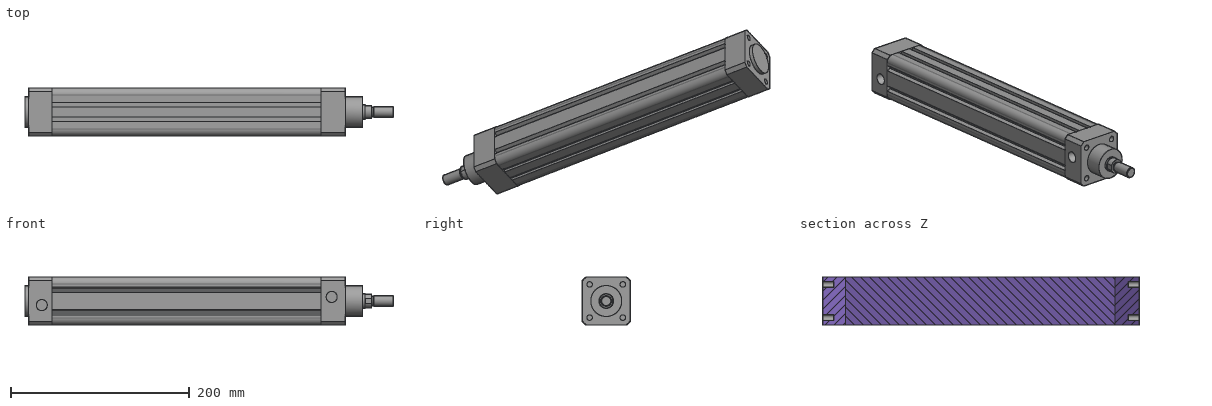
import cadquery as cq


total_length = 413.0
rear_pilot_length = 4.0
rear_head_length = 26.0
front_head_start = 331.5
front_head_length = 27.3
front_boss_length = 19.5

rear_head_end = rear_pilot_length + rear_head_length
front_head_end = front_head_start + front_head_length
boss_end = front_head_end + front_boss_length

width = 54.0
head_chamfer = 4.0
pilot_diameter = 34.5
mount_hole_diameter = 6.0
mount_hole_spacing = 37.0
mount_hole_depth = 12.5
port_diameter = 12.5
port_depth = 12.5
port_height = 4.5
rear_port_x = 19.0
front_port_x = 343.5

tube_corner_radius = 8.0
slot_depth = 3.5
slot_width = 5.0
slot_offset = 8.3
side_groove_depth = 4.0
side_groove_mouth = 6.0
side_groove_floor = 2.5
side_groove_offset = 12.5

collar_diameter = 16.5
rod_diameter = 15.5
rod_end = 388.2
collar_end = 380.8
flat_start = 381.5
flat_distance = 14.5
neck_diameter = 10.7
neck_length = 1.5
thread_diameter = 12.0
thread_chamfer = 1.0


def bar_from(x):
    """Workplane across the cylinder axis at station x, sketching in Y and Z."""
    return cq.Workplane("YZ", origin=(x, 0, 0))


def make_head(start, length, port_x, port_z):
    """Square head block with chamfered long edges and an air port in its -Y side."""
    block = bar_from(start).rect(width, width).extrude(length).edges("|X").chamfer(head_chamfer)
    port = (
        cq.Workplane("XZ", origin=(port_x, -width / 2, port_z))
        .circle(port_diameter / 2)
        .extrude(-port_depth)
    )
    return block.cut(port)


def mount_holes(face_x, inward):
    """Four blind screw holes from an end face; inward is the X direction into the head."""
    return (
        bar_from(face_x)
        .rect(mount_hole_spacing, mount_hole_spacing, forConstruction=True)
        .vertices()
        .circle(mount_hole_diameter / 2)
        .extrude(inward * mount_hole_depth)
    )


def make_rear_head():
    head = make_head(rear_pilot_length, rear_head_length, rear_port_x, -port_height)
    pilot = bar_from(0).circle(pilot_diameter / 2).extrude(rear_pilot_length)
    return head.union(pilot).cut(mount_holes(rear_pilot_length, 1))


def make_front_head():
    head = make_head(front_head_start, front_head_length, front_port_x, port_height)
    boss = bar_from(front_head_end).circle(pilot_diameter / 2).extrude(front_boss_length)
    return head.union(boss).cut(mount_holes(front_head_end, -1))


def make_tube():
    length = front_head_start - rear_head_end
    tube = bar_from(rear_head_end).rect(width, width).extrude(length)
    tube = tube.edges("|X").fillet(tube_corner_radius)
    face = width / 2
    floor = face - side_groove_depth
    for side in (-1, 1):
        for offset in (-1, 1):
            slot = (
                bar_from(rear_head_end)
                .center(offset * slot_offset, side * (face - slot_depth / 2))
                .rect(slot_width, slot_depth)
                .extrude(length)
            )
            middle = offset * side_groove_offset
            groove = (
                bar_from(rear_head_end)
                .polyline([
                    (side * face, middle - side_groove_mouth / 2),
                    (side * face, middle + side_groove_mouth / 2),
                    (side * floor, middle + side_groove_floor / 2),
                    (side * floor, middle - side_groove_floor / 2),
                ])
                .close()
                .extrude(length)
            )
            tube = tube.cut(slot).cut(groove)
    return tube


def make_rod():
    """Piston rod with a collar, two wrench flats, a thread relief and a chamfered threaded end."""
    collar = bar_from(boss_end).circle(collar_diameter / 2).extrude(collar_end - boss_end)
    shank = bar_from(collar_end).circle(rod_diameter / 2).extrude(rod_end - collar_end)
    flat_length = rod_end - flat_start
    flat_band = bar_from(flat_start).rect(rod_diameter, rod_diameter).extrude(flat_length)
    across_flats = bar_from(flat_start).rect(flat_distance, rod_diameter).extrude(flat_length)
    shank = shank.cut(flat_band.cut(across_flats))
    thread_start = rod_end + neck_length
    neck = bar_from(rod_end).circle(neck_diameter / 2).extrude(neck_length)
    thread = bar_from(thread_start).circle(thread_diameter / 2).extrude(total_length - thread_start)
    thread = thread.edges("%CIRCLE").chamfer(thread_chamfer)
    return collar.union(shank).union(neck).union(thread)


rear_head = make_rear_head()
tube = make_tube()
front_head = make_front_head()
rod = make_rod()

result = cq.Compound.makeCompound([rear_head.val(), tube.val(), front_head.val(), rod.val()])